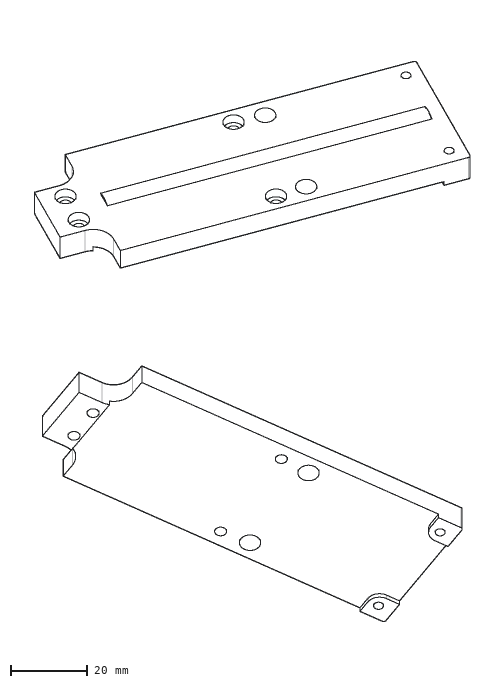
import cadquery as cq

length = 111.9
width = 39.7
height = 8.4
crown_height = 0.7
plate_top = height - crown_height
corner_radius = 0.7

tail_width = 18.6
shoulder_y = 12.9
shoulder_radius = 5.8

relief_depth = 1.3
tail_foot_length = 9.2
corner_foot_size = 7.6
corner_foot_radius = 3.6

rib_width = 5.1
rib_start_y = 16.0
rib_end_y = 107.6

pin_hole_diameter = 2.6
pin_hole_x = 15.5
pin_hole_y = 107.4
clearance_hole_diameter = 5.6
clearance_hole_x = 14.8
clearance_hole_y = 67.4
screw_hole_diameter = 3.1
counterbore_diameter = 5.6
counterbore_depth = 2.8
middle_screw_x = 15.3
middle_screw_y = 58.6
tail_screw_x = 4.8
tail_screw_y = 7.0


def mirrored_pair(x, y):
    return [(-x, y), (x, y)]


def make_plate():
    half_width = width / 2
    half_tail = tail_width / 2
    shoulder_x = half_tail + shoulder_radius
    arc_start_y = shoulder_y - shoulder_radius
    return (
        cq.Workplane("XY")
        .moveTo(-half_tail, 0)
        .lineTo(half_tail, 0)
        .lineTo(half_tail, arc_start_y)
        .radiusArc((shoulder_x, shoulder_y), shoulder_radius)
        .lineTo(half_width, shoulder_y)
        .lineTo(half_width, length)
        .lineTo(-half_width, length)
        .lineTo(-half_width, shoulder_y)
        .lineTo(-shoulder_x, shoulder_y)
        .radiusArc((-half_tail, arc_start_y), shoulder_radius)
        .close()
        .extrude(plate_top)
        .edges("|Z").edges(">Y")
        .fillet(corner_radius)
    )


def make_relief():
    relief = (
        cq.Workplane("XY")
        .box(width, length - tail_foot_length, relief_depth, centered=(True, False, False))
        .translate((0, tail_foot_length, 0))
    )
    for side in (-1, 1):
        inner_edge = ">X" if side < 0 else "<X"
        foot = (
            cq.Workplane("XY")
            .box(corner_foot_size, corner_foot_size, relief_depth, centered=(True, True, False))
            .edges("|Z").edges(inner_edge).edges("<Y")
            .fillet(corner_foot_radius)
            .translate((side * (width - corner_foot_size) / 2, length - corner_foot_size / 2, 0))
        )
        relief = relief.cut(foot)
    return relief


def make_rib():
    half_rib = rib_width / 2
    sunk_base = plate_top - crown_height
    return (
        cq.Workplane("XZ", origin=(0, rib_end_y, 0))
        .moveTo(-half_rib, sunk_base)
        .lineTo(-half_rib, plate_top)
        .threePointArc((0, height), (half_rib, plate_top))
        .lineTo(half_rib, sunk_base)
        .close()
        .extrude(rib_end_y - rib_start_y)
    )


def make_holes(centres, diameter, bottom=0):
    return (
        cq.Workplane("XY", origin=(0, 0, bottom))
        .pushPoints(centres)
        .circle(diameter / 2)
        .extrude(plate_top - bottom)
    )


pin_holes = mirrored_pair(pin_hole_x, pin_hole_y)
clearance_holes = mirrored_pair(clearance_hole_x, clearance_hole_y)
screw_holes = mirrored_pair(middle_screw_x, middle_screw_y) + mirrored_pair(tail_screw_x, tail_screw_y)

result = (
    make_plate()
    .cut(make_relief())
    .union(make_rib())
    .cut(make_holes(pin_holes, pin_hole_diameter))
    .cut(make_holes(clearance_holes, clearance_hole_diameter))
    .cut(make_holes(screw_holes, screw_hole_diameter))
    .cut(make_holes(screw_holes, counterbore_diameter, plate_top - counterbore_depth))
)